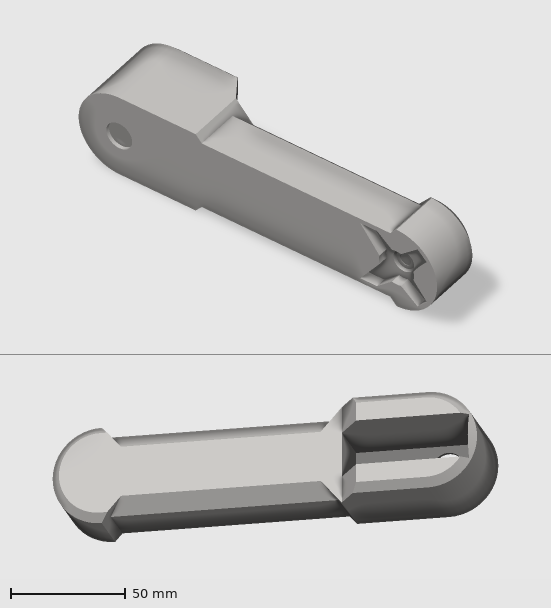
import cadquery as cq
import math

overall_length = 194.0
end_width = 44.0
end_radius = end_width / 2
horn_x = overall_length - end_width
tall_height = 45.0
low_height = 29.9
end_chamfer = 3.7
slope_top_x = 31.5
slope_foot_x = 41.3

bar_half_width = end_radius - end_chamfer
step_run = 3.3
step_run_per_z = step_run / (end_radius - bar_half_width)
bar_start_x = slope_foot_x + step_run
bar_end_x = horn_x - step_run
bar_bevel_width = 7.0
bar_bevel_height = 7.0

pivot_hole_radius = 7.0
channel_half_width = 10.0
channel_start_x = -18.6
channel_floor_y = 2.0

horn_depth = 5.5
horn_hub_radius = 9.5
horn_arm_inner_angle = 15.0
horn_left_tip = (19.5, 16.0)
horn_left_shoulder = (10.5, 16.0)
horn_right_low_corner = (16.5, 11.5)
horn_right_high_corner = (11.5, 16.5)
socket_mouth_radius = 5.6
socket_floor_radius = 4.8
socket_depth = 1.4
screw_hole_radius = 3.0
screw_hole_depth = 0.4


def plane_at(y):
    """XZ sketch plane at height y, with its normal along +Y and local y along -Z."""
    return cq.Workplane(cq.Plane((0, y, 0), (1, 0, 0), (0, 1, 0)))


def cylinder(x, radius, y_start, height):
    return plane_at(y_start).center(x, 0).circle(radius).extrude(height)


def rounded_bar(height):
    """Round-ended bar over the full length, chamfered along its upper rim."""
    bar = plane_at(0).center(horn_x / 2, 0).slot2D(overall_length, end_width)
    return bar.extrude(height).faces(">Y").chamfer(end_chamfer)


def make_blank():
    low = rounded_bar(low_height)
    foot = cq.Workplane("XY").box(bar_start_x, low_height, end_width, (False, False, True))
    profile = [
        (-end_radius, 0),
        (-end_radius, tall_height),
        (slope_top_x, tall_height),
        (slope_foot_x, low_height),
        (slope_foot_x, 0),
    ]
    sloped_block = cq.Workplane("XY").polyline(profile).close().extrude(end_radius, both=True)
    return low.union(foot).union(rounded_bar(tall_height).intersect(sloped_block))


def side_trapezoid(inner_z, outer_z):
    """Block between two Z levels whose ends lie in the sloping planes of the bar steps."""
    inner_shift = (bar_half_width - inner_z) * step_run_per_z
    outer_shift = (bar_half_width - outer_z) * step_run_per_z
    return (
        plane_at(0)
        .polyline([
            (bar_start_x + inner_shift, -inner_z),
            (bar_end_x - inner_shift, -inner_z),
            (bar_end_x - outer_shift, -outer_z),
            (bar_start_x + outer_shift, -outer_z),
        ])
        .close()
        .extrude(tall_height)
    )


def make_side_cut():
    """Narrowing of the bar on the +Z side together with its long bevel."""
    bevel_inner_z = bar_half_width - bar_bevel_width
    bevel = (
        cq.Workplane("YZ")
        .polyline([
            (low_height, bevel_inner_z),
            (low_height, bar_half_width),
            (low_height - bar_bevel_height, bar_half_width),
        ])
        .close()
        .extrude(horn_x)
    )
    bevel_zone = side_trapezoid(bevel_inner_z, bar_half_width)
    narrowing = side_trapezoid(bar_half_width, end_radius)
    return narrowing.union(bevel.intersect(bevel_zone))


def make_horn_pocket():
    """Four-armed recess in the y = 0 face, around the horn hub."""
    pocket = cylinder(horn_x, horn_hub_radius, 0, horn_depth)
    angle = math.radians(horn_arm_inner_angle)
    near = horn_hub_radius * math.cos(angle)
    far = horn_hub_radius * math.sin(angle)
    for z_sign in (-1, 1):
        for x_sign, outer, inner in (
            (-1, horn_left_tip, horn_left_shoulder),
            (1, horn_right_low_corner, horn_right_high_corner),
        ):
            corners = [(0, 0), (near, far), outer, inner, (far, near)]
            points = [(horn_x + x_sign * x, z_sign * z) for x, z in corners]
            pocket = pocket.union(plane_at(0).polyline(points).close().extrude(horn_depth))
    return pocket


def make_horn_socket():
    """Tapered socket and blind screw hole below the pocket floor."""
    socket = (
        plane_at(horn_depth)
        .center(horn_x, 0)
        .circle(socket_mouth_radius)
        .workplane(offset=socket_depth)
        .circle(socket_floor_radius)
        .loft()
    )
    screw_hole = cylinder(horn_x, screw_hole_radius, horn_depth + socket_depth, screw_hole_depth)
    return socket.union(screw_hole)


def make_channel():
    """Deep channel in the pivot end, leaving a thin floor and ending at the foot of the slope."""
    length = slope_foot_x - channel_start_x
    depth = tall_height - channel_floor_y
    channel = cq.Workplane("XY").box(length, depth, 2 * channel_half_width, (False, False, True))
    return channel.translate((channel_start_x, channel_floor_y, 0))


side_cut = make_side_cut()
result = (
    make_blank()
    .cut(side_cut)
    .cut(side_cut.mirror("XY"))
    .cut(cylinder(0, pivot_hole_radius, 0, tall_height))
    .cut(make_channel())
    .cut(make_horn_pocket())
    .cut(make_horn_socket())
)